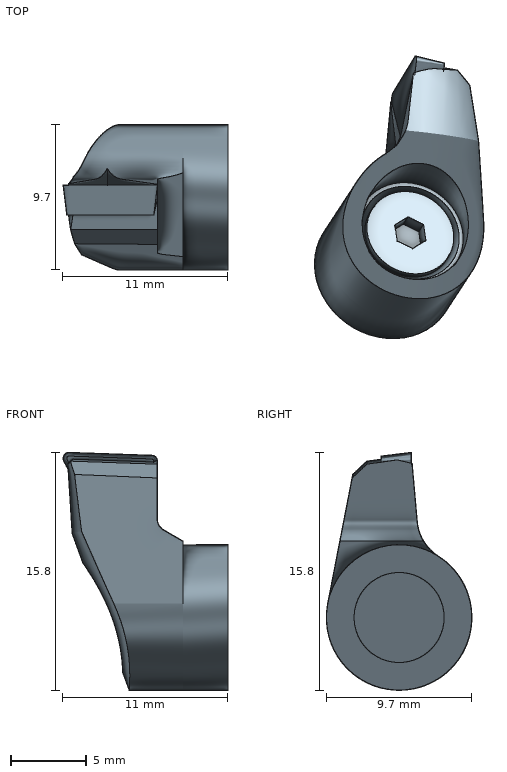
import cadquery as cq
import math


BODY_DIAMETER = 9.7
BODY_RADIUS = BODY_DIAMETER / 2
SHANK_LENGTH = 3.0
FLANK_ANGLE = 11.0
NECK_ANGLE = 5.0
NECK_FOOT_Y = 1.77
NECK_FILLET = 3.0
NECK_STOCK_Z = 12.0
TOP_CORNER_Y = -2.15
TOP_DROP = 0.165
TOP_RELIEF = 8.0
TOP_CHAMFER_ANGLE = 43.0
TOP_CHAMFER_REACH = 5.0
TIP_CHAMFER_ANGLE = 42.0
TIP_CHAMFER_X = -7.49

FRONT_RADIUS = 11.7
LOWER_FRONT_X = -5.36
LOWER_FRONT_ANGLE = 20.0
UPPER_FRONT_ANGLE = 3.6
FRONT_BREAK_Z = 5.6
HEAD_DEPTH = 9.0

NECK_REAR_X = -1.72
STEP_TOP_Z = 5.08
STEP_ANGLE = 30.0
STEP_FILLET = 0.85

RECESS_DIAMETER = 7.3
SINK_DEPTH = 0.53
SINK_DIAMETER = 6.75
SCREW_DIAMETER = 6.0
SCREW_FACE_X = -3.5
HEX_ACROSS_FLATS = 2.0
HEX_DEPTH = 1.2
HEX_ROLL = 8.0

INSERT_INSCRIBED = 3.97
INSERT_THICKNESS = 2.0
INSERT_CORNER = 0.4
INSERT_RELIEF = 7.0
INSERT_TILT = 2.0
INSERT_FACE_Y = 0.81
POCKET_FRONT_Y = 5.0
INSERT_CENTER_X = -4.91
INSERT_CENTER_Z = 8.92

STOCK = 40.0


def tan_deg(angle):
    return math.tan(math.radians(angle))


def sin_deg(angle):
    return math.sin(math.radians(angle))


def cos_deg(angle):
    return math.cos(math.radians(angle))


def place_insert(shape):
    """Tilt a shape built around the insert's centre and move it to its seat."""
    tilted = shape.rotate((0, 0, 0), (0, 1, 0), INSERT_TILT)
    return tilted.translate((INSERT_CENTER_X, 0, INSERT_CENTER_Z))


def triangle_frustum(front_y, corner_radius=0):
    """Triangle, apex down, tapering by the relief angle from front_y back to the insert's rear.

    The inscribed diameter holds at the insert's front face.
    """
    growth = (front_y - INSERT_FACE_Y) * tan_deg(INSERT_RELIEF)
    circumradius = INSERT_INSCRIBED + 2 * growth
    corners = [(circumradius * cos_deg(a), circumradius * sin_deg(a)) for a in (30, 150, 270)]
    outline = cq.Sketch().polygon(corners + corners[:1])
    if corner_radius:
        outline = outline.vertices().fillet(corner_radius)
    depth = front_y - INSERT_FACE_Y + INSERT_THICKNESS
    frustum = (
        cq.Workplane("XZ", origin=(0, front_y, 0))
        .placeSketch(outline)
        .extrude(depth, taper=INSERT_RELIEF)
    )
    return place_insert(frustum)


def make_insert():
    return triangle_frustum(INSERT_FACE_Y, INSERT_CORNER)


def head_outline():
    """Head seen along X: round body, flank, raised neck and concave fillet."""
    flank_foot = (-BODY_RADIUS * cos_deg(FLANK_ANGLE), BODY_RADIUS * sin_deg(FLANK_ANGLE))

    def flank_y(z):
        return flank_foot[0] + (z - flank_foot[1]) * tan_deg(FLANK_ANGLE)

    center_distance = BODY_RADIUS + NECK_FILLET
    along_normal = NECK_FOOT_Y * cos_deg(NECK_ANGLE) + NECK_FILLET
    center_angle = NECK_ANGLE + math.degrees(math.acos(along_normal / center_distance))
    center = (center_distance * cos_deg(center_angle), center_distance * sin_deg(center_angle))
    fillet_foot = (BODY_RADIUS * cos_deg(center_angle), BODY_RADIUS * sin_deg(center_angle))

    def fillet_point(angle):
        return (center[0] + NECK_FILLET * cos_deg(angle), center[1] + NECK_FILLET * sin_deg(angle))

    fillet_start_angle = center_angle + 180
    fillet_end_angle = NECK_ANGLE + 180
    fillet_mid = fillet_point((fillet_start_angle + fillet_end_angle) / 2)
    fillet_end = fillet_point(fillet_end_angle)

    neck_top_y = NECK_FOOT_Y - NECK_STOCK_Z * tan_deg(NECK_ANGLE)
    return (
        cq.Workplane("YZ")
        .moveTo(flank_y(NECK_STOCK_Z), NECK_STOCK_Z)
        .lineTo(*flank_foot)
        .threePointArc((0, -BODY_RADIUS), fillet_foot)
        .threePointArc(fillet_mid, fillet_end)
        .lineTo(neck_top_y, NECK_STOCK_Z)
        .close()
    )


def front_cylinder(front_x, base_z, angle):
    """Solid cylinder whose foremost line passes (front_x, base_z), leaning forward by angle."""
    lean = cq.Vector(-sin_deg(angle), 0, cos_deg(angle))
    inward = cq.Vector(cos_deg(angle), 0, sin_deg(angle))
    start = cq.Vector(front_x, 0, base_z) + inward * FRONT_RADIUS - lean * STOCK
    return cq.Workplane(cq.Solid.makeCylinder(FRONT_RADIUS, 2 * STOCK, start, lean))


def make_holder():
    head = head_outline().extrude(-HEAD_DEPTH)

    break_x = LOWER_FRONT_X - FRONT_BREAK_Z * tan_deg(LOWER_FRONT_ANGLE)
    head = head.intersect(front_cylinder(LOWER_FRONT_X, 0, LOWER_FRONT_ANGLE))
    head = head.intersect(front_cylinder(break_x, FRONT_BREAK_Z, UPPER_FRONT_ANGLE))

    step_corner_z = STEP_TOP_Z - NECK_REAR_X * tan_deg(STEP_ANGLE)
    step = (
        cq.Workplane("XZ")
        .moveTo(0, STEP_TOP_Z)
        .lineTo(NECK_REAR_X, step_corner_z)
        .lineTo(NECK_REAR_X, STOCK)
        .lineTo(0, STOCK)
        .close()
        .extrude(STOCK / 2, both=True)
        .edges(cq.selectors.NearestToPointSelector((NECK_REAR_X, 0, step_corner_z)))
        .fillet(STEP_FILLET)
    )
    head = head.cut(step)

    top_at_face = INSERT_INSCRIBED / 2 - TOP_DROP
    corner_drop = (INSERT_FACE_Y - TOP_CORNER_Y) * tan_deg(TOP_RELIEF)
    corner_z = top_at_face - corner_drop
    chamfer_drop = TOP_CHAMFER_REACH * tan_deg(TOP_CHAMFER_ANGLE)
    face_side_y = INSERT_FACE_Y + POCKET_FRONT_Y
    top_tool = (
        cq.Workplane("YZ", origin=(-STOCK / 2, 0, 0))
        .moveTo(TOP_CORNER_Y, corner_z)
        .lineTo(TOP_CORNER_Y - TOP_CHAMFER_REACH, corner_z - chamfer_drop)
        .lineTo(TOP_CORNER_Y - TOP_CHAMFER_REACH, STOCK)
        .lineTo(face_side_y, STOCK)
        .lineTo(face_side_y, top_at_face + POCKET_FRONT_Y * tan_deg(TOP_RELIEF))
        .close()
        .extrude(STOCK)
    )
    head = head.cut(place_insert(top_tool))

    tip_z = INSERT_CENTER_Z + corner_z - (TIP_CHAMFER_X - INSERT_CENTER_X) * tan_deg(INSERT_TILT)
    tip_tool = (
        cq.Workplane("XY")
        .box(STOCK, STOCK, STOCK)
        .translate((0, 0, STOCK / 2))
        .rotate((0, 0, 0), (0, 1, 0), -TIP_CHAMFER_ANGLE)
        .translate((TIP_CHAMFER_X, 0, tip_z))
    )
    head = head.cut(tip_tool)

    head = head.cut(triangle_frustum(POCKET_FRONT_Y))

    shank = cq.Workplane("YZ").circle(BODY_RADIUS).extrude(SHANK_LENGTH)

    bore = (
        cq.Workplane("XY")
        .moveTo(-HEAD_DEPTH, 0)
        .lineTo(-HEAD_DEPTH, RECESS_DIAMETER / 2)
        .lineTo(SCREW_FACE_X, RECESS_DIAMETER / 2)
        .lineTo(SCREW_FACE_X, SINK_DIAMETER / 2)
        .lineTo(SCREW_FACE_X + SINK_DEPTH, SCREW_DIAMETER / 2)
        .lineTo(SHANK_LENGTH, SCREW_DIAMETER / 2)
        .lineTo(SHANK_LENGTH, 0)
        .close()
        .revolve(360, (0, 0, 0), (1, 0, 0))
    )
    return head.cut(bore).union(shank.cut(bore), clean=False)


def make_screw():
    screw = (
        cq.Workplane("YZ", origin=(SCREW_FACE_X, 0, 0))
        .circle(SCREW_DIAMETER / 2)
        .extrude(SHANK_LENGTH - SCREW_FACE_X)
    )
    hex_socket = (
        cq.Workplane("YZ", origin=(SCREW_FACE_X, 0, 0))
        .polygon(6, HEX_ACROSS_FLATS / cos_deg(30))
        .extrude(HEX_DEPTH)
        .rotate((0, 0, 0), (1, 0, 0), 90 - HEX_ROLL)
    )
    return screw.cut(hex_socket)


holder = make_holder()
insert = make_insert()
screw = make_screw()
result = cq.Compound.makeCompound([
    holder.solids().val(),
    insert.solids().val(),
    screw.solids().val(),
])